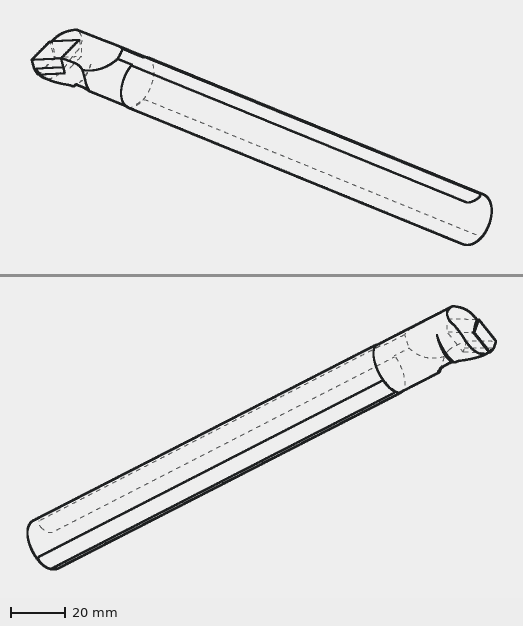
import cadquery as cq
import math

total_length = 200.0
shank_radius = 10.0
flat_height = 9.2
end_fillet = 2.4
neck_radius = 9.8
neck_length = 40.0
neck_cone_length = 0.5

head_radius = 10.2
head_center_y = -1.0
head_center_z = -1.0
head_length = 13.8
head_chamfer = 1.8

tip_y = -12.4
tip_z = 0.5
rake_slope_x = 0.055
rake_slope_y = 0.26
rake_flat_length = 17.5
rake_runout_radius = 32.0

insert_width = 9.8
insert_side = 11.2
insert_skew = 5.4
insert_thickness = 7.8
insert_land = 4.4
insert_relief = 7.0

nose_upright_depth = 7.0
nose_setback = 0.5
nose_arc_start = (0.8, 14.4)
nose_arc_middle = (1.5, 17.0)
nose_arc_end = (3.2, 19.2)
nose_corner = (8.4, 23.5)
nose_relief = 7.0
scoop_corner_x = 11.5
scoop_top = 5.5
scoop_straight_end = 15.4
scoop_radius = 10.0
scoop_angle = 60.0

reach = 60.0

rake_plane = cq.Plane(
    origin=(0, tip_y, tip_z),
    xDir=(1 + rake_slope_y ** 2, -rake_slope_x * rake_slope_y, rake_slope_x),
    normal=(-rake_slope_x, -rake_slope_y, 1),
)


def below_rake(depth):
    """Workplane parallel to the rake plane at the given depth."""
    return cq.Workplane(rake_plane).workplane(offset=-depth)


def cylinder_x(radius, start, length):
    return cq.Workplane("YZ", origin=(start, 0, 0)).circle(radius).extrude(length)


def insert_outline(workplane):
    return workplane.polyline([
        (0, 0),
        (insert_width, insert_skew),
        (insert_width, insert_skew + insert_side),
        (0, insert_side),
    ]).close()


def make_insert():
    land = insert_outline(below_rake(0)).extrude(-insert_land)
    relief_depth = insert_thickness - insert_land
    relieved = insert_outline(below_rake(insert_land)).extrude(-relief_depth, taper=insert_relief)
    return land.union(relieved)


def nose_outline(workplane):
    """Plan of the nose: front facets and the scoop behind the insert."""
    def scoop_point(angle):
        angle = math.radians(angle)
        return (
            scoop_straight_end + scoop_radius * math.sin(angle),
            scoop_top - scoop_radius * (1 - math.cos(angle)),
        )

    scoop_end = scoop_point(scoop_angle)
    front_slope = insert_skew / insert_width
    return (
        workplane.moveTo(nose_setback, nose_setback * front_slope)
        .lineTo(insert_width, insert_skew)
        .lineTo(scoop_corner_x, scoop_top)
        .lineTo(scoop_straight_end, scoop_top)
        .threePointArc(scoop_point(scoop_angle / 2), scoop_end)
        .lineTo(scoop_end[0], -reach)
        .lineTo(reach, -reach)
        .lineTo(reach, reach)
        .lineTo(nose_corner[0] + reach - nose_corner[1], reach)
        .lineTo(*nose_corner)
        .lineTo(*nose_arc_end)
        .threePointArc(nose_arc_middle, nose_arc_start)
        .lineTo(nose_setback, insert_side)
        .close()
    )


def make_nose_envelope():
    upper = nose_outline(below_rake(nose_upright_depth)).extrude(reach)
    lower = nose_outline(below_rake(nose_upright_depth)).extrude(-reach / 2, taper=nose_relief)
    return upper.union(lower)


def make_rake_cutter():
    """Everything above the rake plane and its rounded run-out."""
    runout_end = rake_flat_length + rake_runout_radius
    middle = math.radians(45)
    side_plane = cq.Plane(
        origin=rake_plane.toWorldCoords((0, -reach, 0)),
        xDir=rake_plane.xDir,
        normal=rake_plane.yDir * -1,
    )
    return (
        cq.Workplane(side_plane)
        .moveTo(-reach, 0)
        .lineTo(rake_flat_length, 0)
        .threePointArc(
            (rake_flat_length + rake_runout_radius * math.sin(middle),
             rake_runout_radius * (1 - math.cos(middle))),
            (runout_end, rake_runout_radius),
        )
        .lineTo(runout_end, reach)
        .lineTo(-reach, reach)
        .close()
        .extrude(-2 * reach)
    )


def make_shank():
    shank = cylinder_x(shank_radius, neck_length, total_length - neck_length)
    shank = shank.faces(">X").edges().fillet(end_fillet)
    return shank.faces("<X").edges().chamfer(neck_cone_length, shank_radius - neck_radius)


def make_head():
    neck = cylinder_x(neck_radius, 0, neck_length)
    swelling = (
        cq.Workplane("YZ")
        .center(head_center_y, head_center_z)
        .circle(head_radius)
        .extrude(head_length)
        .faces(">X").edges().chamfer(head_chamfer)
    )
    return neck.union(swelling).intersect(make_nose_envelope())


def cut_flats(bar):
    top_flat = cq.Workplane("XY", origin=(0, 0, flat_height)).rect(3 * total_length, reach).extrude(reach)
    bottom_flat = (
        cq.Workplane("XY", origin=(neck_length, 0, -flat_height))
        .rect(total_length, reach, centered=(False, True))
        .extrude(-reach)
    )
    return bar.cut(top_flat).cut(bottom_flat)


def make_holder(seated_insert):
    bar = cut_flats(make_head().union(make_shank()))
    return bar.cut(make_rake_cutter()).cut(seated_insert)


insert = make_insert()
holder = make_holder(insert)
result = cq.Compound.makeCompound([*holder.solids().vals(), insert.val()])